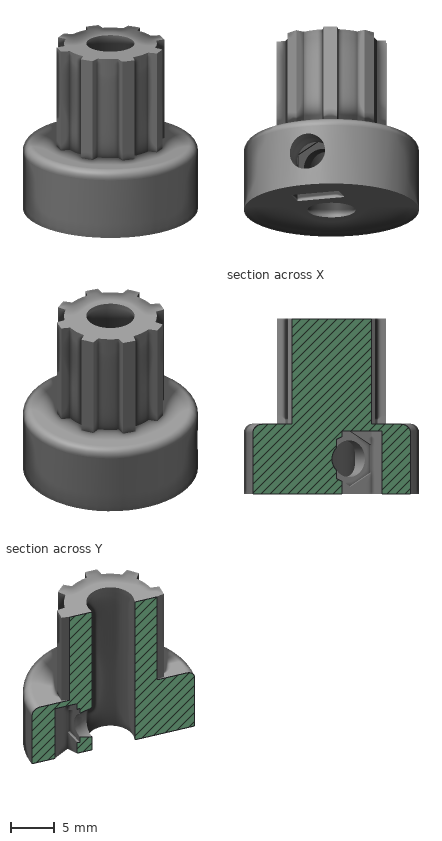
import cadquery as cq
import math

collar_diameter = 20.0
collar_height = 8.0
collar_edge_radius = 1.0

total_height = 20.0
tooth_count = 8
tooth_tip_distance = 6.25
tooth_root_radius = 5.3
tooth_tip_width = 1.5
tooth_root_width = 1.8

bore_diameter = 5.5

screw_angle = 210.0
screw_hole_diameter = 4.2
screw_height = collar_height / 2
nut_across_flats = 5.5
nut_across_corners = nut_across_flats / math.cos(math.pi / 6)
nut_seat_distance = 4.0
nut_seat_depth = 0.3
nut_slot_width = 5.6
nut_slot_inner_distance = nut_seat_distance + nut_seat_depth
nut_slot_thickness = 2.4
nut_slot_top = screw_height + nut_across_corners / 2


def make_collar():
    collar = cq.Workplane("XY").circle(collar_diameter / 2).extrude(collar_height)
    return collar.faces(">Z").edges().fillet(collar_edge_radius)


def make_tooth(angle):
    """Tapered tooth whose flanks run from the root circle to a flat tip."""
    root_half = tooth_root_width / 2
    tip_half = tooth_tip_width / 2
    root_distance = math.sqrt(tooth_root_radius**2 - root_half**2)
    tooth = (
        cq.Workplane("XY")
        .moveTo(0, -root_half)
        .lineTo(root_distance, -root_half)
        .lineTo(tooth_tip_distance, -tip_half)
        .lineTo(tooth_tip_distance, tip_half)
        .lineTo(root_distance, root_half)
        .lineTo(0, root_half)
        .close()
        .extrude(total_height)
    )
    return tooth.rotate((0, 0, 0), (0, 0, 1), angle)


def make_hub():
    hub = cq.Workplane("XY").circle(tooth_root_radius).extrude(total_height)
    for index in range(tooth_count):
        hub = hub.union(make_tooth(index * 360 / tooth_count))
    return hub


def make_screw_hole():
    """Radial hole from the axis out through the collar wall."""
    return (
        cq.Workplane("YZ")
        .center(0, screw_height)
        .circle(screw_hole_diameter / 2)
        .extrude(collar_diameter / 2)
    )


def make_nut_slot():
    """Rectangular slot, open at the bottom face, through which the nut slides in."""
    return (
        cq.Workplane("XY")
        .center(nut_slot_inner_distance + nut_slot_thickness / 2, 0)
        .rect(nut_slot_thickness, nut_slot_width)
        .extrude(nut_slot_top)
    )


def make_nut_seat():
    """Shallow hexagonal recess in the inner wall of the slot, with corners up and down."""
    corner_up = 90
    return (
        cq.Workplane("YZ", origin=(nut_seat_distance, 0, screw_height))
        .transformed(rotate=(0, 0, corner_up))
        .polygon(6, nut_across_corners)
        .extrude(nut_seat_depth)
    )


def make_screw_cut():
    """Screw hole with its nut slot and seat, turned to the screw direction."""
    cut = make_screw_hole().union(make_nut_slot()).union(make_nut_seat())
    return cut.rotate((0, 0, 0), (0, 0, 1), screw_angle)


bore = cq.Workplane("XY").circle(bore_diameter / 2).extrude(total_height)

result = make_collar().union(make_hub()).cut(bore).cut(make_screw_cut())